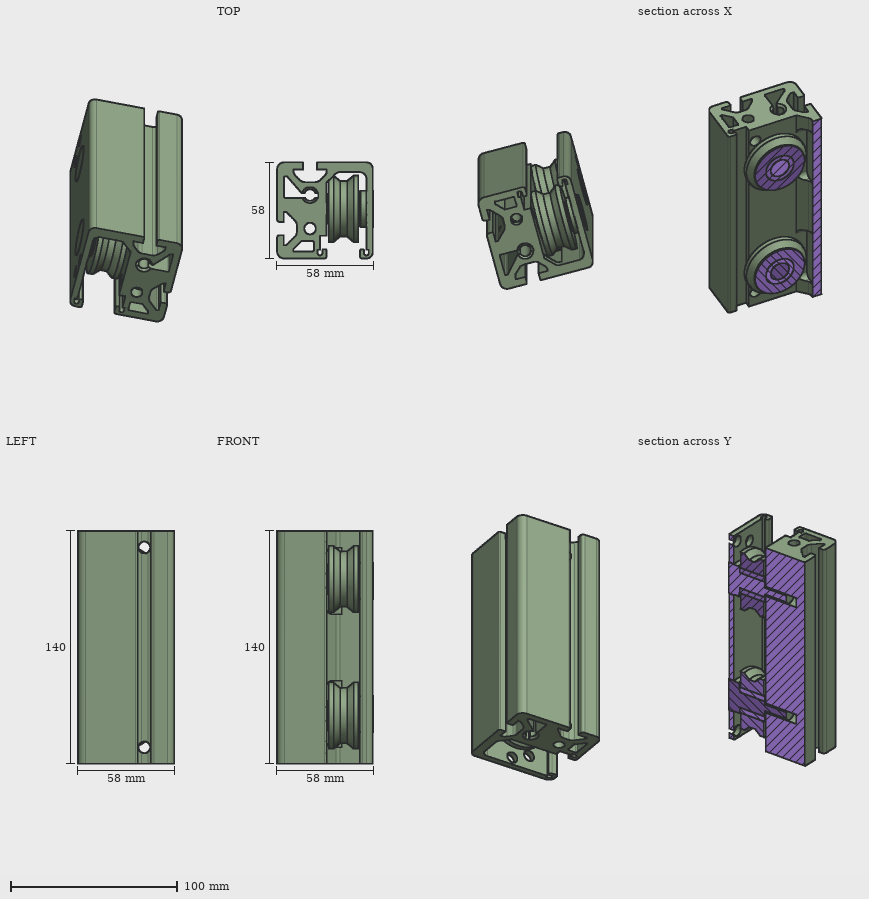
import cadquery as cq

length = 140.0
profile_width = 57.7
profile_depth = 58.0
block_width = 29.8
skin = 4.3
side_wall = 3.9
back_wall = 6.0
left_corner_radius = 4.3
right_corner_radius = 3.9
cavity_corner_radius = 4.0

slot_depth = 11.9
slot_half_wing = 10.0
slot_floor_radius = 4.0
back_slot_x = 19.9
back_slot_opening = 8.3
back_slot_flank = 2.4
back_wing_radius = 4.0
back_lip_thickness = 4.5
back_lip_radius = 0.7
left_slot_y = 18.0
left_slot_opening = 7.8
left_slot_flank = 1.4
left_wing_radius = 0.7
left_lip_thickness = 4.2
left_lip_radius = 1.7

channel_y = 38.2
channel_diameter = 6.9
countersink_diameter = 9.7
keyway_bottom = 36.5
keyway_top = 39.3
keyway_end = 24.8
pocket_tip_y = 49.4
pocket_tip_width = 1.7
pocket_slope_end = 14.8
pocket_radius = 0.7
plain_bore_diameter = 6.9

hollow_right = 22.1
hollow_top = 10.5
hollow_flank = 1.4

ramp_start_y = 45.5
ramp_radius = 3.5
step_x = 25.9
step_y = 13.7
hook_height = 5.7
hook_thickness = 2.5
right_hook_reach = 3.9
hook_gap = 2.8
hook_floor = 2.0
hook_tip_radius = 1.0
outer_hook_radius = 1.4
block_hook_corner_radius = 1.3
hook_undercut_y = 5.3

pin_from_end = 30.0
pin_y = 30.0
eccentricity = 1.0
roller_center_x = 40.0
roller_diameter = 40.0
groove_diameter = 33.5
roller_half_width = 9.0
groove_mouth_half_width = 6.0
groove_floor_half_width = 2.1
bushing_diameter = 18.2
bushing_half_width = 9.8
journal_diameter = 11.9
pin_head_diameter = 22.0
pin_head_end = 58.0
pin_head_chamfer = 0.4
pin_tip_diameter = 8.0
pin_tip_x = 14.0
pin_bore_diameter = 9.0
pin_bore_end = 7.0

relief_height = 40.0
relief_right = 38.9
relief_depth = 0.5
relief_corner_radius = 3.5

cross_hole_diameter = 7.0
front_hole_from_end = 10.0
rear_hole_from_end = 5.0

edge_tolerance = 0.07

profile_ends = [(0, 1), (length, -1)]

wall_inner_x = profile_width - side_wall
back_inner_y = profile_depth - back_wall
right_hook_x = wall_inner_x - right_hook_reach
left_groove_x = block_width - hook_thickness - hook_gap
right_groove_x = right_hook_x + hook_thickness
bushing_start = roller_center_x - bushing_half_width
bushing_end = roller_center_x + bushing_half_width


def extruded(points):
    return cq.Workplane("XY").polyline(points).close().extrude(length)


def edges_at(points):
    """Selects the vertical edges standing on the given (x, y) points."""
    selector = None
    for x, y in points:
        low = (x - edge_tolerance, y - edge_tolerance, 0)
        high = (x + edge_tolerance, y + edge_tolerance, length)
        box = cq.selectors.BoxSelector(low, high)
        selector = box if selector is None else selector + box
    return selector


def rounded(body, radius, points):
    return body.edges("|Z").edges(edges_at(points)).fillet(radius)


def t_slot(opening, lip_thickness, flank, wing_radius):
    """T-slot cutter with its mouth centred on the origin and its floor toward -Y."""
    floor_half = slot_half_wing - (slot_depth - lip_thickness - flank)
    floor_corners = [(-floor_half, -slot_depth), (floor_half, -slot_depth)]
    wing_corners = [(side * slot_half_wing, -lip_thickness - flank) for side in (-1, 1)]
    cutter = extruded([
        (-opening / 2, 0),
        (-opening / 2, -lip_thickness),
        (-slot_half_wing, -lip_thickness),
        wing_corners[0],
        *floor_corners,
        wing_corners[1],
        (slot_half_wing, -lip_thickness),
        (opening / 2, -lip_thickness),
        (opening / 2, 0),
    ])
    cutter = rounded(cutter, slot_floor_radius, floor_corners)
    return rounded(cutter, wing_radius, wing_corners)


def cavity():
    """Space between the block and the side wall, open to the front, without the hooks."""
    ramp_top = (block_width + back_inner_y - ramp_start_y, back_inner_y)
    back_corner = (wall_inner_x, back_inner_y)
    space = extruded([
        (block_width, 0),
        (block_width, hook_height),
        (step_x, hook_height),
        (step_x, step_y),
        (block_width, step_y),
        (block_width, ramp_start_y),
        ramp_top,
        back_corner,
        (wall_inner_x, hook_height),
        (right_hook_x, hook_height),
        (right_hook_x, 0),
    ])
    space = rounded(space, ramp_radius, [ramp_top])
    return rounded(space, cavity_corner_radius, [back_corner])


def hook_groove(left, open_left, open_right):
    """Round-bottomed groove behind a hook; its mouth opens to the cavity between the two open sides."""
    radius = hook_gap / 2
    groove = (
        cq.Workplane("XY")
        .moveTo(left, hook_undercut_y)
        .lineTo(left, hook_floor + radius)
        .threePointArc((left + radius, hook_floor), (left + hook_gap, hook_floor + radius))
        .lineTo(left + hook_gap, hook_undercut_y)
        .close()
        .extrude(length)
    )
    mouth = extruded([
        (open_left, hook_floor + radius),
        (open_right, hook_floor + radius),
        (open_right, hook_height),
        (open_left, hook_height),
    ])
    return groove.union(mouth)


def screw_channel():
    """Bore countersunk at both ends, with a keyway leading into a sloped side pocket."""
    tip = (skin, pocket_tip_y)
    slope_start = (skin + pocket_tip_width, pocket_tip_y)
    pocket_corner = (skin, keyway_bottom)
    pocket = extruded([
        pocket_corner,
        tip,
        slope_start,
        (pocket_slope_end, keyway_top),
        (keyway_end, keyway_top),
        (keyway_end, keyway_bottom),
    ])
    pocket = rounded(pocket, pocket_radius, [tip, slope_start, pocket_corner])
    bore = cq.Workplane("XY").center(back_slot_x, channel_y).circle(channel_diameter / 2).extrude(length)
    channel = pocket.union(bore)
    sink_depth = (countersink_diameter - channel_diameter) / 2
    for end, inward in profile_ends:
        cone = cq.Solid.makeCone(
            countersink_diameter / 2, channel_diameter / 2, sink_depth,
            cq.Vector(back_slot_x, channel_y, end), cq.Vector(0, 0, inward),
        )
        channel = channel.union(cq.Workplane(cone))
    return channel


def front_hollow():
    slope_top = (slot_half_wing + hollow_top - skin - hollow_flank, hollow_top)
    right_corners = [(hollow_right, skin), (hollow_right, hollow_top)]
    hollow = extruded([
        (slot_half_wing, skin),
        *right_corners,
        slope_top,
        (slot_half_wing, skin + hollow_flank),
    ])
    return rounded(hollow, pocket_radius, right_corners)


def x_cylinder(diameter, x_start, x_end, y, z):
    return (
        cq.Workplane("YZ", origin=(x_start, y, z))
        .circle(diameter / 2)
        .extrude(x_end - x_start)
    )


def roller_relief(z):
    """Shallow pocket that clears the roller at the ramp and the back wall."""
    width = relief_right - block_width
    depth = back_inner_y + relief_depth - pin_y
    return (
        cq.Workplane("XY")
        .box(width, depth, relief_height, centered=(False, False, True))
        .edges("|Y and <X")
        .fillet(relief_corner_radius)
        .translate((block_width, pin_y, z))
    )


def outer_bar():
    bar = cq.Workplane("XY").box(profile_width, profile_depth, length, centered=False)
    left_corners = [(0, 0), (0, profile_depth)]
    right_corners = [(profile_width, 0), (profile_width, profile_depth)]
    bar = rounded(bar, left_corner_radius, left_corners)
    return rounded(bar, right_corner_radius, right_corners)


def with_t_slots(body):
    back_slot = (
        t_slot(back_slot_opening, back_lip_thickness, back_slot_flank, back_wing_radius)
        .translate((back_slot_x, profile_depth, 0))
    )
    left_slot = (
        t_slot(left_slot_opening, left_lip_thickness, left_slot_flank, left_wing_radius)
        .rotate((0, 0, 0), (0, 0, 1), 90)
        .translate((0, left_slot_y, 0))
    )
    body = body.cut(back_slot).cut(left_slot)
    back_lips = [(back_slot_x + side * back_slot_opening / 2, profile_depth) for side in (-1, 1)]
    left_lips = [(0, left_slot_y + side * left_slot_opening / 2) for side in (-1, 1)]
    body = rounded(body, back_lip_radius, back_lips)
    return rounded(body, left_lip_radius, left_lips)


def with_cavity_and_hooks(body):
    body = body.cut(cavity())
    body = body.cut(hook_groove(left_groove_x, step_x, left_groove_x + hook_gap))
    body = body.cut(hook_groove(right_groove_x, right_groove_x, wall_inner_x))
    hook_tips = [
        (block_width, hook_height),
        (left_groove_x + hook_gap, hook_height),
        (right_groove_x, hook_height),
    ]
    outer_hook_corners = [(right_hook_x, hook_height), (right_hook_x, 0)]
    body = rounded(body, hook_tip_radius, hook_tips)
    body = rounded(body, outer_hook_radius, outer_hook_corners)
    return rounded(body, block_hook_corner_radius, [(block_width, 0)])


def plain_bore():
    return (
        cq.Workplane("XY")
        .center(back_slot_x, left_slot_y)
        .circle(plain_bore_diameter / 2)
        .extrude(length)
    )


def with_roller_seat(body, z):
    """Relief, blind bore in the block and hole in the side wall for one roller and its pin."""
    body = body.cut(roller_relief(z))
    body = body.cut(x_cylinder(pin_bore_diameter, pin_bore_end, block_width, pin_y, z))
    return body.cut(x_cylinder(pin_head_diameter, wall_inner_x, profile_width, pin_y, z))


def with_cross_holes(body, end, inward):
    """Front hole through block and side wall, rear hole through the side wall only."""
    front_z = end + inward * front_hole_from_end
    rear_z = end + inward * rear_hole_from_end
    body = body.cut(x_cylinder(cross_hole_diameter, 0, profile_width, left_slot_y, front_z))
    return body.cut(x_cylinder(cross_hole_diameter, wall_inner_x, profile_width, pin_y, rear_z))


def make_profile():
    body = with_cavity_and_hooks(with_t_slots(outer_bar()))
    body = body.cut(screw_channel()).cut(front_hollow()).cut(plain_bore())
    for end, inward in profile_ends:
        body = with_roller_seat(body, end + inward * pin_from_end)
        body = with_cross_holes(body, end, inward)
    return body


def make_roller(z):
    outline = [
        (-roller_half_width, bushing_diameter / 2),
        (-roller_half_width, roller_diameter / 2),
        (-groove_mouth_half_width, roller_diameter / 2),
        (-groove_floor_half_width, groove_diameter / 2),
        (groove_floor_half_width, groove_diameter / 2),
        (groove_mouth_half_width, roller_diameter / 2),
        (roller_half_width, roller_diameter / 2),
        (roller_half_width, bushing_diameter / 2),
    ]
    return (
        cq.Workplane("XY")
        .polyline(outline)
        .close()
        .revolve(360, (0, 0, 0), (1, 0, 0))
        .translate((roller_center_x, pin_y, z))
    )


def make_bushing(z):
    sleeve = x_cylinder(bushing_diameter, bushing_start, bushing_end, pin_y, z)
    return sleeve.cut(x_cylinder(journal_diameter, bushing_start, bushing_end, pin_y, z))


def make_pin(pin_z, roller_z):
    head = x_cylinder(pin_head_diameter, bushing_end, pin_head_end, pin_y, pin_z)
    head = head.faces("<X").chamfer(pin_head_chamfer)
    journal = x_cylinder(journal_diameter, bushing_start, bushing_end, pin_y, roller_z)
    tip = x_cylinder(pin_tip_diameter, pin_tip_x, bushing_start, pin_y, pin_z)
    return head.union(journal).union(tip)


profile = make_profile()
rollers = []
bushings = []
pins = []
for end, inward in profile_ends:
    pin_z = end + inward * pin_from_end
    roller_z = pin_z - inward * eccentricity
    rollers.append(make_roller(roller_z).val())
    bushings.append(make_bushing(roller_z).val())
    pins.append(make_pin(pin_z, roller_z).val())

result = cq.Compound.makeCompound([profile.val(), *rollers, *bushings, *pins])